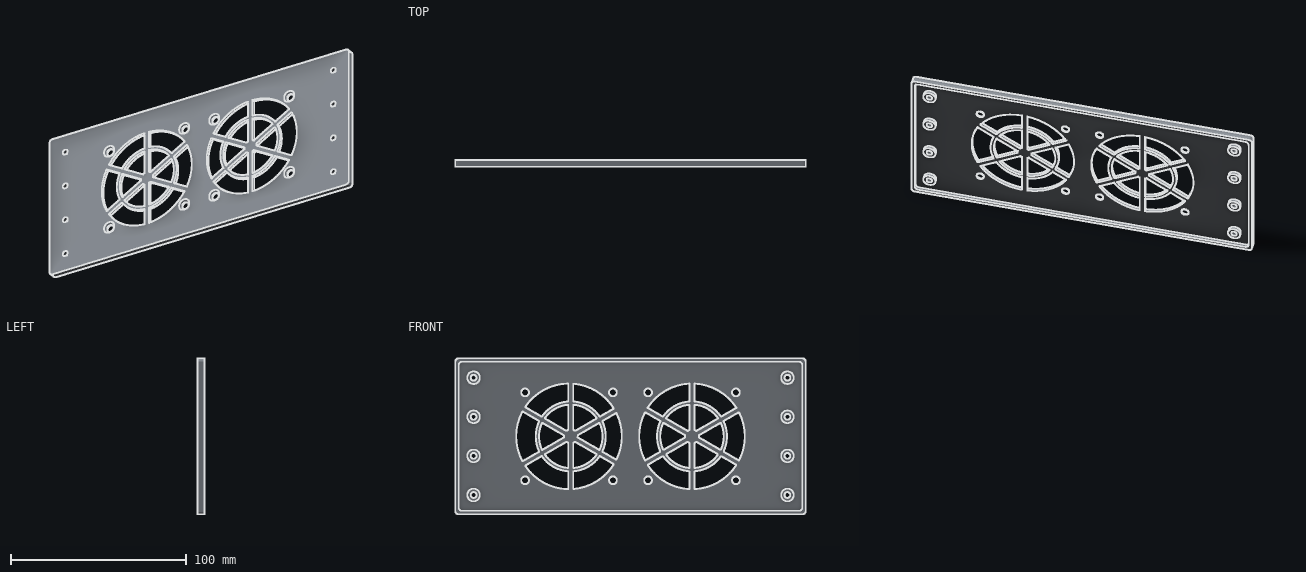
import cadquery as cq

PANEL_LENGTH = 199.6
PANEL_HEIGHT = 88.95
PANEL_DEPTH = 4.0
FLOOR_THICKNESS = 2.0
RIM_WIDTH = 2.0
CORNER_RADIUS = 2.0

BOSS_DIAMETER = 7.2
BOSS_HOLE_DIAMETER = 3.2
BOSSES_PER_COLUMN = 4
BOSS_PITCH = 22.25
BOSS_END_DISTANCE = 10.5
BOSS_COLUMN_SPACING = PANEL_LENGTH - 2 * BOSS_END_DISTANCE

FAN_SPACING = 70.0
FAN_OPENING_DIAMETER = 60.0
FAN_HOLE_DIAMETER = 4.3
FAN_HOLE_SPACING = 50.0
COUNTERSINK_DEPTH = 1.3
COUNTERSINK_DIAMETER = FAN_HOLE_DIAMETER + 2 * COUNTERSINK_DEPTH

GUARD_RING_OUTER_DIAMETER = 40.0
GUARD_RING_INNER_DIAMETER = 36.0
HUB_DIAMETER = 8.0
SPOKE_WIDTH = 3.0
SPOKE_BARS = 3
SPOKE_BAR_STEP = 180 / SPOKE_BARS
LEFT_GUARD_OFFSET = 1.0
RIGHT_GUARD_OFFSET = 0.0

BACK_Y = PANEL_DEPTH / 2


def back_plane():
    """Sketch plane on the back face; X is X, sketch Y is Z, extrusion runs toward -Y."""
    return cq.Workplane("XZ", origin=(0, BACK_Y, 0))


def rounded_block(length, height, depth):
    return back_plane().rect(length, height).extrude(depth).edges("|Y").fillet(CORNER_RADIUS)


def make_tray():
    block = rounded_block(PANEL_LENGTH, PANEL_HEIGHT, PANEL_DEPTH)
    recess = rounded_block(
        PANEL_LENGTH - 2 * RIM_WIDTH,
        PANEL_HEIGHT - 2 * RIM_WIDTH,
        PANEL_DEPTH - FLOOR_THICKNESS,
    )
    return block.cut(recess.translate((0, -FLOOR_THICKNESS, 0)))


def boss_cylinders(diameter):
    """Cylinders through the full panel depth at every boss position."""
    return (
        back_plane()
        .rarray(BOSS_COLUMN_SPACING, BOSS_PITCH, 2, BOSSES_PER_COLUMN)
        .circle(diameter / 2)
        .extrude(PANEL_DEPTH)
    )


def make_fan_guard():
    """Ring, hub and spokes, as thick as the floor, centered on the Y axis."""
    guard = (
        back_plane()
        .circle(GUARD_RING_OUTER_DIAMETER / 2)
        .circle(GUARD_RING_INNER_DIAMETER / 2)
        .extrude(FLOOR_THICKNESS)
    )
    hub = back_plane().circle(HUB_DIAMETER / 2).extrude(FLOOR_THICKNESS)
    guard = guard.union(hub)
    bar_length = FAN_OPENING_DIAMETER + 2 * LEFT_GUARD_OFFSET
    upright_bar = back_plane().rect(SPOKE_WIDTH, bar_length).extrude(FLOOR_THICKNESS)
    for index in range(SPOKE_BARS):
        guard = guard.union(upright_bar.rotate((0, 0, 0), (0, 1, 0), index * SPOKE_BAR_STEP))
    return guard


def make_screw_holes():
    """Four countersunk screw holes in a square around the Y axis."""
    screw_holes = (
        back_plane()
        .rarray(FAN_HOLE_SPACING, FAN_HOLE_SPACING, 2, 2)
        .circle(FAN_HOLE_DIAMETER / 2)
        .extrude(FLOOR_THICKNESS)
    )
    countersink = cq.Solid.makeCone(
        COUNTERSINK_DIAMETER / 2,
        FAN_HOLE_DIAMETER / 2,
        COUNTERSINK_DEPTH,
        pnt=cq.Vector(0, BACK_Y, 0),
        dir=cq.Vector(0, -1, 0),
    )
    for x in (-FAN_HOLE_SPACING / 2, FAN_HOLE_SPACING / 2):
        for z in (-FAN_HOLE_SPACING / 2, FAN_HOLE_SPACING / 2):
            screw_holes = screw_holes.union(cq.Workplane(countersink.translate(cq.Vector(x, 0, z))))
    return screw_holes


def make_fan_cutout(guard_offset):
    """Material removed for one fan: the guarded opening and its screw holes."""
    opening = back_plane().circle(FAN_OPENING_DIAMETER / 2).extrude(FLOOR_THICKNESS)
    guard = make_fan_guard().translate((guard_offset, 0, 0))
    return opening.cut(guard).union(make_screw_holes())


panel = make_tray()
panel = panel.union(boss_cylinders(BOSS_DIAMETER))
panel = panel.cut(boss_cylinders(BOSS_HOLE_DIAMETER))

left_cutout = make_fan_cutout(LEFT_GUARD_OFFSET).translate((-FAN_SPACING / 2, 0, 0))
right_cutout = make_fan_cutout(RIGHT_GUARD_OFFSET).translate((FAN_SPACING / 2, 0, 0))

result = panel.cut(left_cutout).cut(right_cutout)